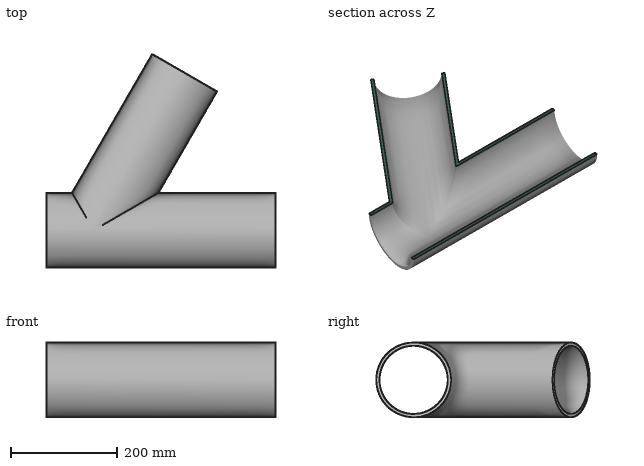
import cadquery as cq
import math

OUTER_DIAMETER = 141.3
BORE_DIAMETER = 128.19
RUN_LENGTH = 431.8
BRANCH_LENGTH = 342.9
BRANCH_ANGLE = 60.0
BRANCH_OFFSET = 88.9

branch_direction = cq.Vector(
    math.cos(math.radians(BRANCH_ANGLE)),
    math.sin(math.radians(BRANCH_ANGLE)),
    0,
)


def run_cylinder(diameter):
    """Cylinder along X over the full length of the run."""
    start = cq.Vector(-BRANCH_OFFSET, 0, 0)
    return cq.Solid.makeCylinder(diameter / 2, RUN_LENGTH, start, cq.Vector(1, 0, 0))


def branch_cylinder(diameter):
    """Cylinder along the inclined branch, starting at the crossing of the axes."""
    return cq.Solid.makeCylinder(diameter / 2, BRANCH_LENGTH, cq.Vector(0, 0, 0), branch_direction)


def lateral(diameter):
    """Run and branch of one diameter, joined into a single Y-shaped body."""
    return cq.Workplane(run_cylinder(diameter)).union(cq.Workplane(branch_cylinder(diameter)))


result = lateral(OUTER_DIAMETER).cut(lateral(BORE_DIAMETER))